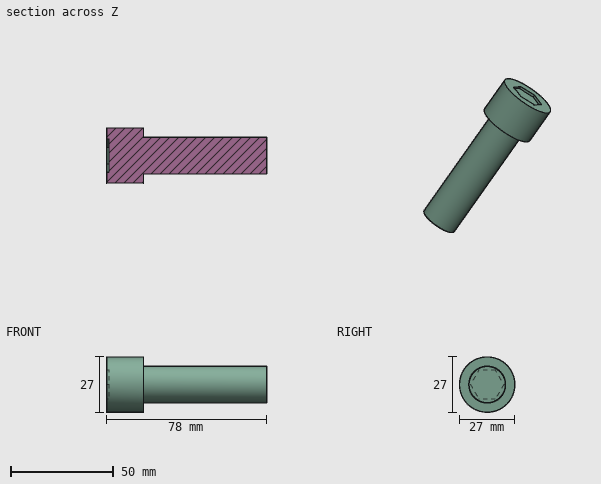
import cadquery as cq
import math

total_length = 78.0
shank_diameter = 18.0
head_diameter = 1.5 * shank_diameter
head_height = shank_diameter
tip_chamfer = 0.2
socket_across_flats = 14.0
socket_depth = 1.2

head = cq.Workplane("YZ").circle(head_diameter / 2).extrude(head_height)

shank = (
    cq.Workplane("YZ")
    .circle(shank_diameter / 2)
    .extrude(total_length)
    .faces(">X")
    .chamfer(tip_chamfer)
)

socket_across_corners = socket_across_flats / math.cos(math.pi / 6)
socket = cq.Workplane("YZ").polygon(6, socket_across_corners).extrude(socket_depth)

result = head.union(shank).cut(socket)